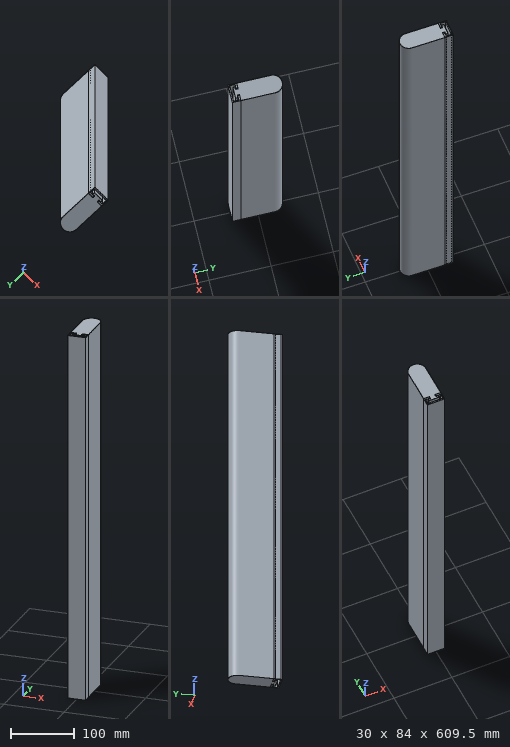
import cadquery as cq

WIDTH = 30.0
DEPTH = 84.0
LENGTH = 609.5

RAIL_DEPTH = 14.0
WALL = 2.0
FLOOR = 2.5
LIP_THICKNESS = 3.0

NECK_WIDTH = 10.0
HEAD_WIDTH = 18.0
HEAD_THICKNESS = 3.5
FOOT_CLEARANCE = 0.5

SLOT_WIDTH = NECK_WIDTH + 2 * FOOT_CLEARANCE

BACK = -DEPTH / 2
SEAM = BACK + RAIL_DEPTH
LIP_BACK = SEAM - LIP_THICKNESS
HEAD_FRONT = LIP_BACK - FOOT_CLEARANCE
HEAD_BACK = HEAD_FRONT - HEAD_THICKNESS
NOSE = DEPTH / 2
NOSE_START = NOSE - WIDTH / 2
BOTTOM = -LENGTH / 2


def make_block(width, y_back, y_front):
    """Full-length block centred on X, between two Y positions."""
    return (
        cq.Workplane("XY", origin=(0, (y_back + y_front) / 2, BOTTOM))
        .rect(width, y_front - y_back)
        .extrude(LENGTH)
    )


def make_rail():
    """C-shaped rail, open between its two lips."""
    cavity = make_block(WIDTH - 2 * WALL, BACK + FLOOR, LIP_BACK)
    slot = make_block(SLOT_WIDTH, LIP_BACK, SEAM)
    return make_block(WIDTH, BACK, SEAM).cut(cavity).cut(slot)


def make_bumper():
    """Solid bar with a half-round nose and a T-shaped foot."""
    bar = (
        cq.Workplane("XY", origin=(0, 0, BOTTOM))
        .moveTo(-WIDTH / 2, SEAM)
        .lineTo(WIDTH / 2, SEAM)
        .lineTo(WIDTH / 2, NOSE_START)
        .threePointArc((0, NOSE), (-WIDTH / 2, NOSE_START))
        .close()
        .extrude(LENGTH)
    )
    neck = make_block(NECK_WIDTH, HEAD_FRONT, SEAM)
    head = make_block(HEAD_WIDTH, HEAD_BACK, HEAD_FRONT)
    return bar.union(neck).union(head)


rail = make_rail()
bumper = make_bumper()

result = cq.Compound.makeCompound([rail.val(), bumper.val()])